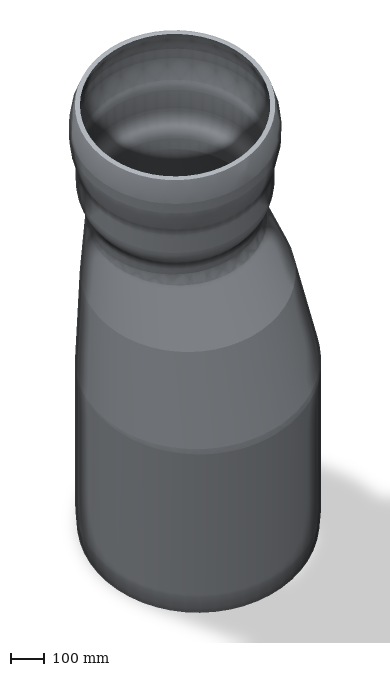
import cadquery as cq

total_height = 1780.0
wall = 15.0
joint_height = 1083.0
joint_radius = 320.0
cone_blend = 100.0
match_tolerance = 0.01

tube_radius = 365.0
tube_bore_radius = 349.0
tube_top = 724.0
spigot_top = 80.0
spigot_end_radius = 360.0
spigot_blend_reach = 5.5

neck_radius = 265.0
neck_start = 1302.0
neck_end = 1350.0
neck_overlap = 10.0
neck_blend = 70.0
seat_radius = 295.0
seat_start = 1452.0
seat_end = 1533.0
seat_start_blend = 115.0
seat_end_blend = 100.0
bulge_radius = 315.0
bulge_start = 1652.0
bulge_end = 1694.0
bulge_blend = 265.0
lip_radius = 297.0

flush_step = 0.1
joint_x = joint_radius - tube_radius + flush_step
neck_x = neck_radius - tube_radius + 2 * flush_step


def cylinder(x, bottom, top, radius):
    return cq.Workplane("XY", (x, 0, bottom)).circle(radius).extrude(top - bottom)


def oblique_cone(x0, z0, radius0, x1, z1, radius1):
    """Cone between two horizontal circles with their centres offset in X."""
    up = cq.Vector(0, 0, 1)
    circles = [
        cq.Wire.makeCircle(radius0, cq.Vector(x0, 0, z0), up),
        cq.Wire.makeCircle(radius1, cq.Vector(x1, 0, z1), up),
    ]
    return cq.Workplane(obj=cq.Solid.makeLoft(circles, True))


def round_ring(body, height, radius):
    """Fillet the circular edge that lies at the given height."""
    ring = [edge for edge in body.edges("%CIRCLE").vals() if abs(edge.Center().z - height) < match_tolerance]
    return body.newObject(ring).fillet(radius)


def spigot_tube():
    """Solid tube with a slight taper at its foot, rounded into the straight wall."""
    taper = (tube_radius - spigot_end_radius) / spigot_top
    blend_foot = (tube_radius - taper * spigot_blend_reach, spigot_top - spigot_blend_reach)
    blend_head = (tube_radius, spigot_top + spigot_blend_reach)
    profile = (
        cq.Workplane("XZ")
        .lineTo(spigot_end_radius, 0)
        .lineTo(*blend_foot)
        .tangentArcPoint(blend_head, relative=False)
        .lineTo(tube_radius, tube_top)
        .lineTo(0, tube_top)
        .close()
    )
    return profile.revolve(360, (0, 0), (0, 1))


def lower_cone(tube_r, inset):
    return oblique_cone(0, tube_top, tube_r, joint_x, joint_height, joint_radius - inset)


def upper_cone_and_neck(inset):
    cone = oblique_cone(joint_x, joint_height, joint_radius - inset,
                        neck_x, neck_start, neck_radius - inset)
    return cone.union(cylinder(neck_x, neck_start, neck_end, neck_radius - inset))


def s_curve(profile, start, end, concave, convex):
    """Two tangent arcs from one upright line to another; they meet on the chord."""
    share = concave / (concave + convex)
    middle = (start[0] + share * (end[0] - start[0]), start[1] + share * (end[1] - start[1]))
    profile = profile.tangentArcPoint(middle, relative=False)
    return profile.tangentArcPoint(end, relative=False)


def socket_shape(inset):
    """Solid bell socket above the upper cone, shrunk inward by the inset."""
    neck, seat, bulge, lip = [
        radius - inset for radius in (neck_radius, seat_radius, bulge_radius, lip_radius)
    ]
    profile = cq.Workplane("XZ", (neck_x, 0, 0)).moveTo(0, neck_end - neck_overlap)
    profile = profile.lineTo(neck, neck_end - neck_overlap).lineTo(neck, neck_end)
    profile = s_curve(profile, (neck, neck_end), (seat, seat_start),
                      neck_blend + inset, seat_start_blend - inset)
    profile = profile.lineTo(seat, seat_end)
    profile = s_curve(profile, (seat, seat_end), (bulge, bulge_start),
                      seat_end_blend + inset, bulge_blend - inset)
    profile = profile.lineTo(bulge, bulge_end)
    profile = profile.tangentArcPoint((lip, total_height), relative=False)
    profile = profile.lineTo(0, total_height).close()
    return profile.revolve(360, (0, 0), (0, 1))


def make_spigot_reducer():
    outside = spigot_tube().union(lower_cone(tube_radius, 0))
    outside = round_ring(outside, tube_top, cone_blend)
    bore = cylinder(0, 0, tube_top, tube_bore_radius).union(lower_cone(tube_bore_radius, wall))
    return outside.cut(bore)


def make_socket_reducer():
    outside = round_ring(upper_cone_and_neck(0), neck_start, cone_blend).union(socket_shape(0))
    bore = upper_cone_and_neck(wall).union(socket_shape(wall))
    return outside.cut(bore)


spigot_reducer = make_spigot_reducer()
socket_reducer = make_socket_reducer()

result = cq.Compound.makeCompound([spigot_reducer.val(), socket_reducer.val()])